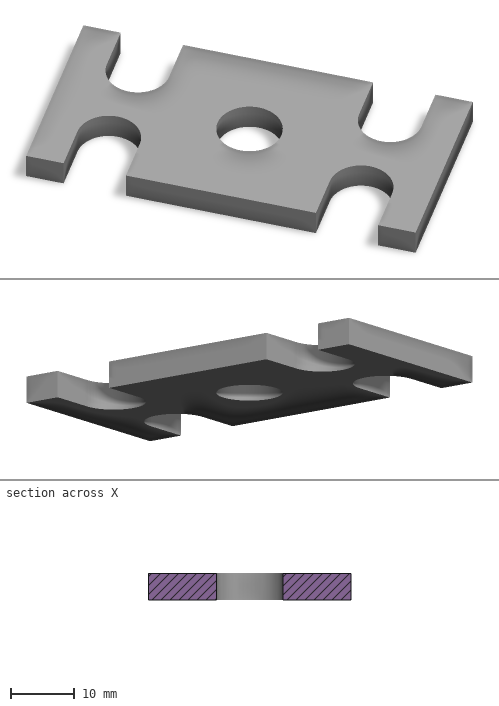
import cadquery as cq

length = 63.5
width = 31.75
thickness = 4.25

hole_diameter = 10.4

slot_width = 10.15
end_bar_width = 6.1
slot_depth = 12.8

slot_radius = slot_width / 2
slot_x = length / 2 - end_bar_width - slot_radius
slot_end_y = width / 2 - slot_depth
arc_center_y = slot_end_y + slot_radius


def edge_slot(x_side, y_side):
    """Cutter for one slot, running from a long edge to its round inner end."""
    center_x = x_side * slot_x
    edge_y = y_side * width / 2
    arc_y = y_side * arc_center_y
    return (
        cq.Workplane("XY")
        .moveTo(center_x - slot_radius, edge_y)
        .lineTo(center_x - slot_radius, arc_y)
        .threePointArc((center_x, y_side * slot_end_y), (center_x + slot_radius, arc_y))
        .lineTo(center_x + slot_radius, edge_y)
        .close()
        .extrude(thickness)
    )


result = (
    cq.Workplane("XY")
    .box(length, width, thickness, centered=(True, True, False))
    .faces(">Z")
    .workplane()
    .hole(hole_diameter)
)

for x_side in (-1, 1):
    for y_side in (-1, 1):
        result = result.cut(edge_slot(x_side, y_side))